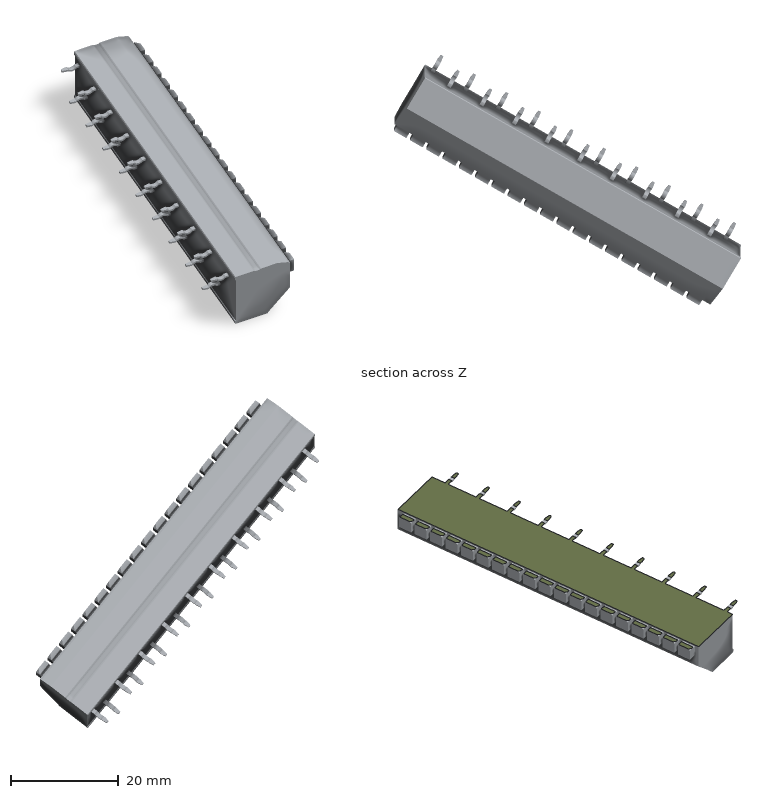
import cadquery as cq


poles = 19
pitch = 3.5
length = 68.0
height = 12.0
depth = 11.4

back_top = height - 0.95
back_bottom = 4.7
back_round = 0.4
back_round_rise = 0.25
slope_run = 2.6
base_depth = 6.8
base_rise = 0.15
rail_height = 0.8
rail_depth = 0.2
rail_chamfer_run = 0.12
rail_chamfer_rise = 0.25
groove_back = 5.4
groove_front = 3.9
groove_depth = 0.2
groove_back_run = 0.3
groove_front_run = 0.4

button_first_left = 0.82
button_width = 2.7
button_reach = 1.6
button_bottom = 7.1
button_top = 9.95
button_step_top = 9.3
button_crest = 0.95
button_step_foot = 1.15
bevel_x = 0.8
bevel_y = 0.9
bevel_z = 0.65

pin_first_x = 1.65
pin_upper_z = 9.75
pin_row_spacing = 5.08
pin_width = 0.8
pin_thickness = 0.4
pin_reach = 3.4
pin_embed = 0.5
bend_start = 0.55
bend_end = 2.2
bend_height = 0.4
taper_length = 0.9
tip_width = 0.5


def make_housing():
    outline = [
        (base_depth, 0),
        (base_depth, base_rise),
        (depth, back_bottom),
        (depth, back_top),
        (depth - back_round, back_top + back_round_rise),
        (depth - slope_run, height),
        (groove_back, height),
        (groove_back - groove_back_run, height - groove_depth),
        (groove_front + groove_front_run, height - groove_depth),
        (groove_front, height),
        (rail_chamfer_run, height),
        (0, height - rail_chamfer_rise),
        (0, height - rail_height),
        (rail_depth, height - rail_height),
        (rail_depth, rail_height),
        (0, rail_height),
        (0, rail_chamfer_rise),
        (rail_chamfer_run, 0),
    ]
    return cq.Workplane("YZ").polyline(outline).close().extrude(length)


def make_button():
    """Button with its left side at X = 0, standing on the back face."""
    back = depth + button_reach
    outline = [
        (depth, button_bottom),
        (back, button_bottom),
        (back, button_top),
        (back - button_crest, button_top),
        (back - button_step_foot, button_step_top),
        (depth, button_step_top),
    ]
    button = cq.Workplane("YZ").polyline(outline).close().extrude(button_width)
    return button.cut(make_corner_wedge(back))


def make_corner_wedge(back):
    """Tetrahedron that bevels the upper left back corner of a button."""
    corner = cq.Vector(0, back, button_top)
    along_x = cq.Vector(bevel_x, back, button_top)
    along_y = cq.Vector(0, back - bevel_y, button_top)
    along_z = cq.Vector(0, back, button_top - bevel_z)
    triangles = [
        (corner, along_x, along_y),
        (corner, along_y, along_z),
        (corner, along_z, along_x),
        (along_x, along_y, along_z),
    ]
    faces = [
        cq.Face.makeFromWires(cq.Wire.makePolygon(triangle, close=True))
        for triangle in triangles
    ]
    return cq.Workplane(cq.Solid.makeSolid(cq.Shell.makeShell(faces)))


def make_pin(z, bend):
    """Pin centred on X = 0 at height z; bend is the signed bend height."""
    low = z - pin_thickness / 2
    high = z + pin_thickness / 2
    bend_middle = -(bend_start + bend_end) / 2
    side = (
        cq.Workplane("YZ")
        .moveTo(pin_embed, low)
        .lineTo(-bend_start, low)
        .threePointArc((bend_middle, low + bend), (-bend_end, low))
        .lineTo(-pin_reach, low)
        .lineTo(-pin_reach, high)
        .lineTo(-bend_end, high)
        .threePointArc((bend_middle, high + bend), (-bend_start, high))
        .lineTo(pin_embed, high)
        .close()
        .extrude(pin_width / 2, both=True)
    )
    plan = [
        (-pin_width / 2, pin_embed),
        (-pin_width / 2, taper_length - pin_reach),
        (-tip_width / 2, -pin_reach),
        (tip_width / 2, -pin_reach),
        (pin_width / 2, taper_length - pin_reach),
        (pin_width / 2, pin_embed),
    ]
    return side.intersect(cq.Workplane("XY").polyline(plan).close().extrude(height))


def make_part():
    button = make_button()
    upper_pin = make_pin(pin_upper_z, -bend_height)
    lower_pin = make_pin(pin_upper_z - pin_row_spacing, bend_height)
    part = make_housing()
    for pole in range(poles):
        offset = pole * pitch
        pin = upper_pin if pole % 2 == 0 else lower_pin
        part = part.union(button.translate((button_first_left + offset, 0, 0)))
        part = part.union(pin.translate((pin_first_x + offset, 0, 0)))
    return part


result = make_part()